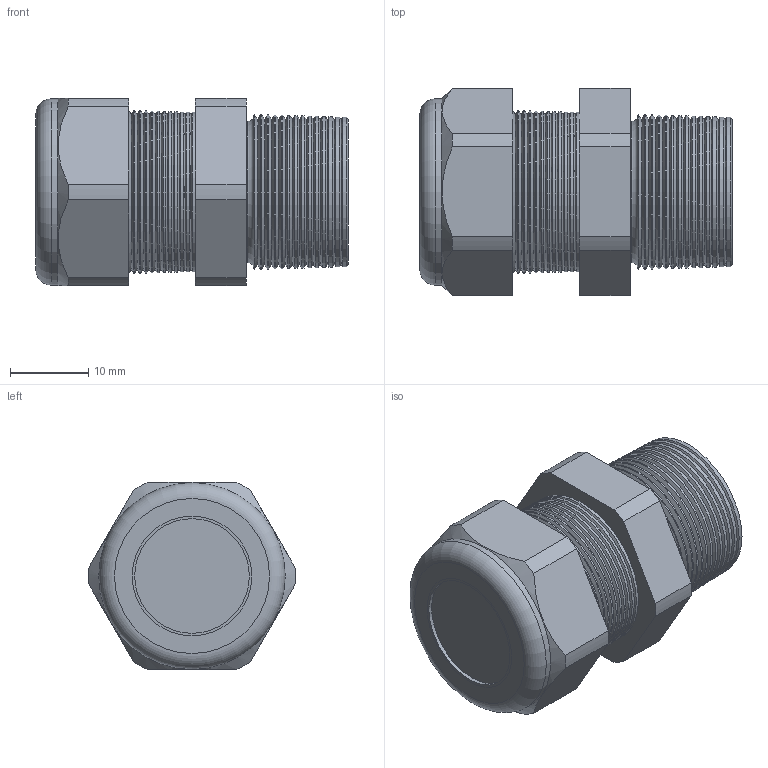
import cadquery as cq
import math


across_flats = 23.88
corner_diameter = 26.49
corner_radius = corner_diameter / 2

cap_length = 11.88
exposed_thread_length = 8.5
collar_length = 6.5
end_thread_length = 13.0
collar_start = cap_length + exposed_thread_length
collar_end = collar_start + collar_length
total_length = collar_end + end_thread_length

nose_radius = 11.9
nose_rounding = 2.0
nose_length = 2.8
opening_radius = 7.63
lip_thickness = 2.0

plug_rim = 0.31
plug_recess_radius = opening_radius - plug_rim
plug_recess_depth = 0.5

thread_half_angle = math.radians(30)
crest_taper = 1 / 32

cap_thread_root = 9.86
cap_thread_pitch = 0.763
cap_thread_crest = 10.43
cap_thread_first_crest = 12.56

end_thread_root = 9.22
end_thread_pitch = 0.89
end_thread_crest = 9.88
end_thread_teeth = 13

neck_radius = 9.0
neck_fillet = 0.9


def thread_tooth(center, pitch, root, crest):
    """Points of one trimmed V tooth as (x, radius), ending at the root after it."""
    half_crest = pitch / 2 - (crest - root) * math.tan(thread_half_angle)
    return [
        (center - half_crest, crest),
        (center + half_crest, crest),
        (center + pitch / 2, root),
    ]


def thread_outline(first_crest, pitch, root, crest, count):
    """Points of a row of teeth whose crests shrink along X."""
    points = [(first_crest - pitch / 2, root)]
    for index in range(count):
        advance = index * pitch
        tooth_crest = crest - advance * crest_taper
        points += thread_tooth(first_crest + advance, pitch, root, tooth_crest)
    return points


def revolve_about_x(profile):
    return profile.close().revolve(360, (0, 0, 0), (1, 0, 0))


def cylinder(start, end, radius):
    return cq.Workplane("YZ").workplane(offset=start).circle(radius).extrude(end - start)


def rounded_hexagon(start, end):
    """Hexagon with flats facing up and down and its corners turned to a cylinder."""
    sharp_diameter = across_flats / math.cos(math.radians(30))
    hexagon = cq.Workplane("YZ").workplane(offset=start).polygon(6, sharp_diameter)
    return hexagon.extrude(end - start).intersect(cylinder(start, end, corner_radius))


def make_cap():
    rounding_middle = nose_rounding * (1 - math.sqrt(0.5))
    chamfer = corner_radius - nose_radius
    envelope = revolve_about_x(
        cq.Workplane("XZ")
        .moveTo(0, 0)
        .lineTo(0, nose_radius - nose_rounding)
        .threePointArc((rounding_middle, nose_radius - rounding_middle), (nose_rounding, nose_radius))
        .lineTo(nose_length, nose_radius)
        .lineTo(nose_length + chamfer, corner_radius)
        .lineTo(cap_length, corner_radius)
        .lineTo(cap_length, 0)
    )
    opening = cylinder(0, lip_thickness, opening_radius)
    socket = cylinder(lip_thickness, cap_length, cap_thread_root)
    return rounded_hexagon(0, cap_length).intersect(envelope).cut(opening).cut(socket)


def make_cap_thread():
    count = math.ceil(exposed_thread_length / cap_thread_pitch) + 1
    points = thread_outline(
        cap_thread_first_crest - cap_thread_pitch,
        cap_thread_pitch,
        cap_thread_root,
        cap_thread_crest,
        count,
    )
    ridges = revolve_about_x(
        cq.Workplane("XZ").polyline([(points[0][0], 0)] + points + [(points[-1][0], 0)])
    )
    return ridges.intersect(cylinder(cap_length, collar_start, corner_radius))


def make_end_thread():
    first_crest = total_length - (end_thread_teeth - 0.5) * end_thread_pitch
    points = thread_outline(
        first_crest, end_thread_pitch, end_thread_root, end_thread_crest, end_thread_teeth
    )
    ridge_x = first_crest - end_thread_pitch
    ridge_radius = neck_radius + neck_fillet
    sweep_start = ridge_x - neck_fillet
    sweep_middle = neck_fillet * math.sqrt(0.5)
    return revolve_about_x(
        cq.Workplane("XZ")
        .moveTo(collar_end, 0)
        .lineTo(collar_end, neck_radius)
        .lineTo(sweep_start, neck_radius)
        .threePointArc((sweep_start + sweep_middle, ridge_radius - sweep_middle), (ridge_x, ridge_radius))
        .polyline(points, includeCurrent=True)
        .lineTo(total_length, 0)
    )


def make_body():
    recess = cylinder(0, plug_recess_depth, plug_recess_radius)
    plug = cylinder(0, lip_thickness, opening_radius).cut(recess)
    shank = cylinder(lip_thickness, cap_length, cap_thread_root)
    collar = rounded_hexagon(collar_start, collar_end)
    return plug.union(shank).union(make_cap_thread()).union(collar).union(make_end_thread())


cap = make_cap()
body = make_body()

result = cq.Compound.makeCompound([cap.val(), body.val()])